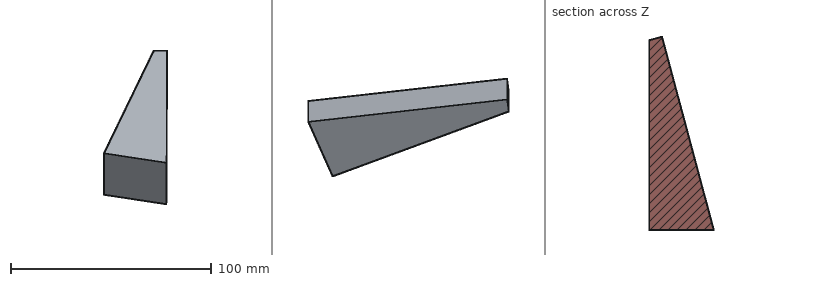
import cadquery as cq

length = 96.6
base_width = 32.4
height = 25.0

tip_width = 6.5

side_slope = (base_width - tip_width) / length
straight_side_length = length - tip_width * side_slope

outline = [
    (0, 0),
    (base_width, 0),
    (tip_width, length),
    (0, straight_side_length),
]

result = cq.Workplane("XY").polyline(outline).close().extrude(height)